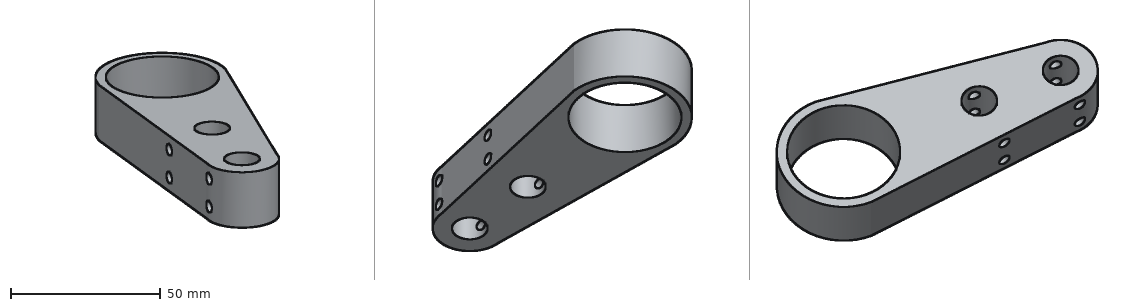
import cadquery as cq
import math

length = 115.0
height = 20.0
large_end_diameter = 45.0
small_end_diameter = 25.0
bore_diameter = 38.0
pin_hole_diameter = 12.0
middle_hole_x = 50.0
cross_hole_diameter = 4.0

large_radius = large_end_diameter / 2
small_radius = small_end_diameter / 2
end_hole_x = length - large_radius - small_radius
pin_hole_places = [middle_hole_x, end_hole_x]
cross_hole_heights = [height / 4, 3 * height / 4]
flank_angle = math.atan2(large_radius - small_radius, end_hole_x)


def make_arm():
    """Tapered arm: two semicircular ends joined by straight flanks."""
    return (
        cq.Workplane("XY")
        .moveTo(0, large_radius)
        .lineTo(end_hole_x, small_radius)
        .threePointArc((end_hole_x + small_radius, 0), (end_hole_x, -small_radius))
        .lineTo(0, -large_radius)
        .threePointArc((-large_radius, 0), (0, large_radius))
        .close()
        .extrude(height)
    )


def make_vertical_hole(x, diameter):
    return cq.Workplane("XY").center(x, 0).circle(diameter / 2).extrude(height)


def make_cross_hole(x, z, side):
    """Hole from a pin-hole axis out through one flank (side is +1 or -1), square to that flank."""
    outward = cq.Vector(math.sin(flank_angle), side * math.cos(flank_angle), 0)
    return cq.Workplane(
        cq.Solid.makeCylinder(cross_hole_diameter / 2, large_end_diameter, cq.Vector(x, 0, z), outward)
    )


result = make_arm().cut(make_vertical_hole(0, bore_diameter))
for hole_x in pin_hole_places:
    result = result.cut(make_vertical_hole(hole_x, pin_hole_diameter))
    for hole_z in cross_hole_heights:
        for flank_side in (-1, 1):
            result = result.cut(make_cross_hole(hole_x, hole_z, flank_side))